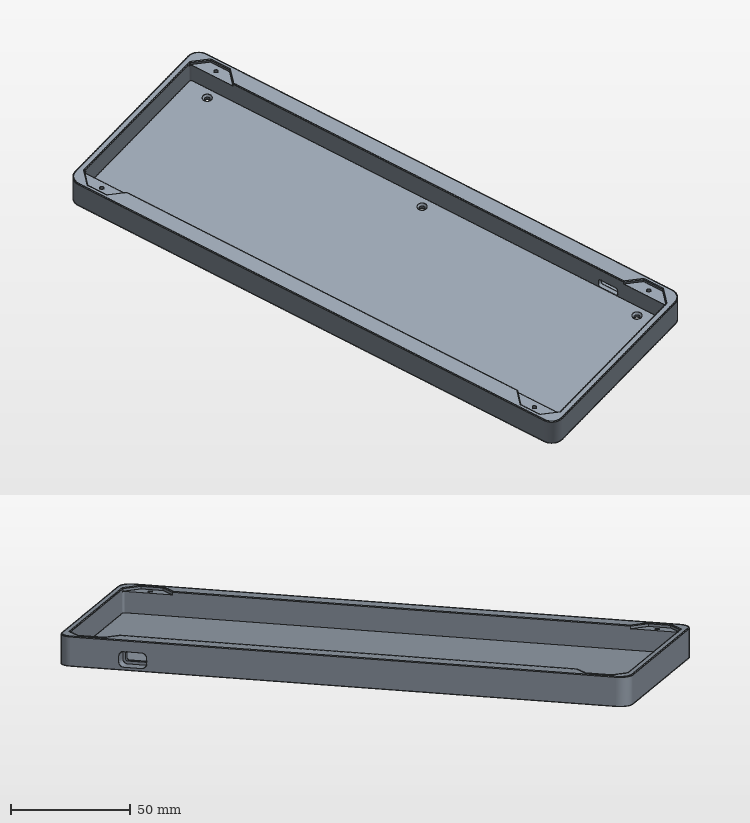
import cadquery as cq

length = 250.0
width = 93.2
height = 13.0
corner_radius = 5.5
rim_chamfer = 0.37
floor_thickness = 2.2

end_wall = 3.0
side_wall = 8.0
pocket_radius = 1.0
pocket_length = length - 2 * end_wall
pocket_width = width - 2 * side_wall

pad_depth = 1.5
pad_lip = 2.0
pad_length = 21.7
pad_reach = side_wall - pad_lip
pad_screw_inset_x = 14.0
pad_screw_inset_y = 5.0
pad_screw_diameter = 1.7
pad_screw_depth = 5.0

floor_hole_diameter = 2.5
countersink_diameter = 4.2
countersink_angle = 90
floor_hole_inset_x = 14.7
floor_hole_inset_y = 12.5

port_x = 92.2
port_width = 9.7
port_height = 4.2
port_radius = 1.0
port_sill = 0.2
port_bottom = floor_thickness + port_sill
port_wall = 2.0
plug_margin = 1.2


def tray():
    """Open tray with rounded corners, resting on Z = 0."""
    body = cq.Workplane("XY").box(length, width, height, centered=(True, True, False))
    body = body.edges("|Z").fillet(corner_radius)
    pocket = (
        cq.Workplane("XY", origin=(0, 0, floor_thickness))
        .box(pocket_length, pocket_width, height, centered=(True, True, False))
        .edges("|Z")
        .fillet(pocket_radius)
    )
    return body.cut(pocket)


def pad_recess():
    """Trapezoid recess with 45 degree ends, in the -X -Y corner."""
    start_x = -pocket_length / 2
    end_x = start_x + pad_length
    inner_y = -pocket_width / 2
    outer_y = inner_y - pad_reach
    clear_y = inner_y + pocket_radius
    return (
        cq.Workplane("XY", origin=(0, 0, height - pad_depth))
        .moveTo(start_x, clear_y)
        .lineTo(start_x, inner_y)
        .lineTo(start_x + pad_reach, outer_y)
        .lineTo(end_x - pad_reach, outer_y)
        .lineTo(end_x, inner_y)
        .lineTo(end_x, clear_y)
        .close()
        .extrude(pad_depth)
    )


def pad_screw_hole():
    """Blind screw hole in the pad of the -X -Y corner."""
    return (
        cq.Workplane("XY", origin=(0, 0, height - pad_depth))
        .center(pad_screw_inset_x - length / 2, pad_screw_inset_y - width / 2)
        .circle(pad_screw_diameter / 2)
        .extrude(-pad_screw_depth)
    )


def on_four_corners(shape):
    """The shape together with its mirror images in the other three corners."""
    pair = shape.union(shape.mirror("YZ"))
    return pair.union(pair.mirror("XZ"))


def floor_holes(tray_body):
    """The tray with its row of countersunk floor holes."""
    y = width / 2 - floor_hole_inset_y
    offset_x = length / 2 - floor_hole_inset_x
    return (
        tray_body.copyWorkplane(cq.Workplane("XY", origin=(0, 0, floor_thickness)))
        .pushPoints([(-offset_x, y), (0, y), (offset_x, y)])
        .cskHole(floor_hole_diameter, countersink_diameter, countersink_angle)
    )


def port_opening(margin, depth):
    """Rounded opening, larger than the port by the margin, cut in from the outer +Y face."""
    opening_width = port_width + 2 * margin
    opening_height = port_height + 2 * margin
    return (
        cq.Workplane("XY", origin=(port_x, width / 2 - depth / 2, port_bottom + port_height / 2))
        .box(opening_width, depth, opening_height)
        .edges("|Y")
        .fillet(port_radius + margin)
    )


result = tray()
result = result.cut(on_four_corners(pad_recess()))
result = result.faces(">Z").edges().chamfer(rim_chamfer)
result = result.cut(on_four_corners(pad_screw_hole()))
result = floor_holes(result)
result = result.cut(port_opening(0, side_wall))
result = result.cut(port_opening(plug_margin, side_wall - port_wall))